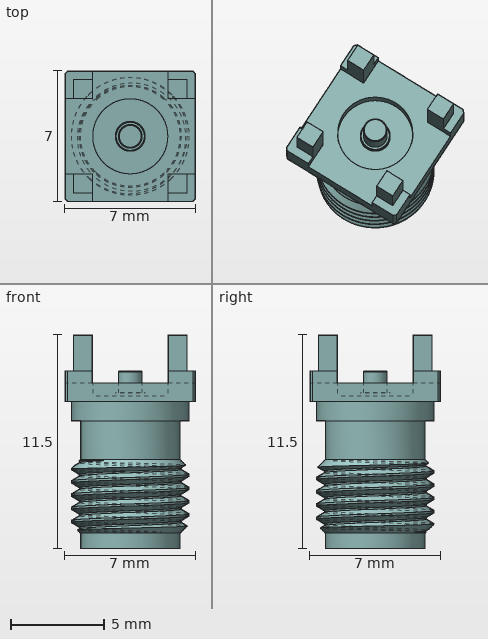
import cadquery as cq

thread_bottom = 0.83
thread_top = 4.78
collar_bottom = 6.85
plate_bottom = 7.88
plate_top = 8.89
pad_top = 9.53
leg_top = 11.46

body_diameter = 5.35
collar_diameter = 6.33

thread_diameter = 6.33
thread_root_diameter = 5.48
thread_pitch = 0.71
crest_flat = 0.11
root_flat = 0.09
groove_start = 0.21
groove_start_angle = 90
cutter_overlap = 0.06
end_margin = 2.06

plate_width = 7.0
plate_corner_chamfer = 0.14
pad_inner_gap = 4.06
leg_width = 1.02

recess_diameter = 4.03
recess_depth = 0.71
shoulder_diameter = 1.6
shoulder_height = 0.21
contact_diameter = 1.27
contact_chamfer = 0.05


def cylinder(diameter, bottom, top):
    return cq.Workplane("XY").workplane(offset=bottom).circle(diameter / 2).extrude(top - bottom)


def thread_groove():
    """Trapezoidal cutter swept along a helix, running out past both thread ends."""
    root_radius = thread_root_diameter / 2
    crest_radius = thread_diameter / 2
    mouth_half = (thread_pitch - crest_flat) / 2
    root_half = root_flat / 2
    flank_slope = (mouth_half - root_half) / (crest_radius - root_radius)
    outer_radius = crest_radius + cutter_overlap
    outer_half = mouth_half + flank_slope * cutter_overlap
    groove_length = thread_top - groove_start + thread_pitch
    helix = cq.Wire.makeHelix(thread_pitch, groove_length, root_radius)
    profile = cq.Workplane("XZ").polyline([
        (root_radius, -root_half),
        (outer_radius, -outer_half),
        (outer_radius, outer_half),
        (root_radius, root_half),
    ]).close()
    cutter = profile.sweep(cq.Workplane(helix), isFrenet=True)
    return cutter.rotate((0, 0, 0), (0, 0, 1), groove_start_angle).translate((0, 0, groove_start))


def threaded_sleeve():
    """Grooved blank trimmed to the thread length, with a 45 degree lead-in at both ends."""
    lead_in = (thread_diameter - body_diameter) / 2
    envelope = cylinder(thread_diameter, thread_bottom, thread_top).faces("<Z or >Z").chamfer(lead_in)
    long_blank = cylinder(thread_diameter, thread_bottom - end_margin, thread_top + end_margin)
    return long_blank.cut(thread_groove()).intersect(envelope)


def mounting_plate():
    """Square plate with a raised pad and a solder leg at each corner."""
    plate = (
        cq.Workplane("XY").workplane(offset=plate_bottom)
        .rect(plate_width, plate_width).extrude(pad_top - plate_bottom)
        .edges("|Z").chamfer(plate_corner_chamfer)
    )
    channel_height = pad_top - plate_top
    for size_x, size_y in [(pad_inner_gap, plate_width), (plate_width, pad_inner_gap)]:
        channel = cq.Workplane("XY").workplane(offset=plate_top).rect(size_x, size_y).extrude(channel_height)
        plate = plate.cut(channel)
    leg_spacing = pad_inner_gap + leg_width
    legs = (
        cq.Workplane("XY").workplane(offset=plate_top)
        .rect(leg_spacing, leg_spacing, forConstruction=True).vertices()
        .rect(leg_width, leg_width).extrude(leg_top - plate_top)
    )
    return plate.union(legs)


def centre_contact(recess_floor):
    """Pin standing on a wider shoulder, both with a chamfered rim."""
    pin = cylinder(contact_diameter, recess_floor, pad_top).faces(">Z").chamfer(contact_chamfer)
    shoulder_top = recess_floor + shoulder_height
    shoulder = cylinder(shoulder_diameter, recess_floor, shoulder_top).faces(">Z").chamfer(contact_chamfer)
    return pin.union(shoulder)


recess_floor = plate_top - recess_depth

result = cylinder(body_diameter, 0, plate_bottom)
result = result.union(threaded_sleeve())
result = result.union(cylinder(collar_diameter, collar_bottom, plate_bottom))
result = result.union(mounting_plate())
result = result.cut(cylinder(recess_diameter, recess_floor, plate_top))
result = result.union(centre_contact(recess_floor))